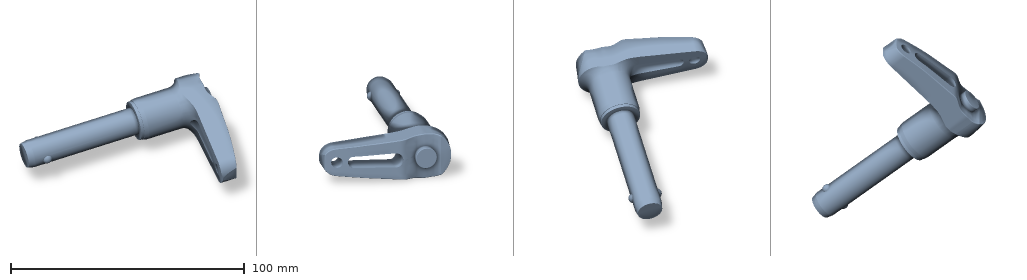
import cadquery as cq
import math

total_length = 85.7

pin_radius = 6.0
tip_radius = 5.4
tip_bevel_length = 2.7
ball_y = 8.5
ball_radius = 2.1
ball_reach = 7.3

ring_radius = 8.6
ring_start_y = 50.7
ring_end_y = 52.1
collar_nose_radius = 8.8
collar_radius = 9.2
collar_taper_end_y = 54.1
flare_start_y = 69.6
flare_radius = 5.1
flare_outer_radius = collar_radius + flare_radius
handle_floor_y = flare_start_y + flare_radius

button_radius = 4.6
button_edge_round = 0.25

head_end_x = -12.6
head_arc_x = -3.8
head_arc_half_width = 9.85
crest_half_length = 1.2
shoulder_half_width = 10.0
crest_half_width = 10.1
grip_end_x = 44.5
grip_arc_x = 38.7
grip_arc_half_width = 6.25

head_top_y = 83.9
recess_y = 82.9
recess_half_length = 3.7
recess_start_x = -6.85
rise_x = 6.5
hump_x = 9.25
hump_y = 85.1
grip_top_start = (13.2, 85.0)
grip_top_middle = (27.2, 83.6)
grip_top_end_y = 80.2
grip_floor_end = (43.7, 73.2)
grip_corner_y = 73.7

end_draft = math.tan(math.radians(7.7))
profile_margin = 1.7

rim_radius = 0.3
rim_lowest_y = 78.85

slot_inner_x = 13.4
slot_inner_radius = 3.25
slot_outer_x = 31.8
slot_outer_half_width = 2.5
slot_end_x = 33.8
lanyard_hole_x = 38.4
lanyard_hole_radius = 2.4


def revolve_about_pin(profile):
    """Turn a closed (radius, Y) profile about the pin axis."""
    return profile.close().revolve(360, (0, 0, 0), (0, 1, 0))


def through_handle(sketch):
    """Extrude an outline drawn in X and Z along the whole part."""
    return sketch.extrude(-total_length)


def make_pin_and_collar():
    flare_offset = flare_radius * math.sqrt(0.5)
    profile = (
        cq.Workplane("XY")
        .moveTo(0, 0)
        .lineTo(tip_radius, 0)
        .lineTo(pin_radius, tip_bevel_length)
        .lineTo(pin_radius, ring_start_y)
        .lineTo(ring_radius, ring_start_y)
        .lineTo(ring_radius, ring_end_y)
        .lineTo(collar_nose_radius, ring_end_y)
        .lineTo(collar_radius, collar_taper_end_y)
        .lineTo(collar_radius, flare_start_y)
        .threePointArc(
            (flare_outer_radius - flare_offset, flare_start_y + flare_offset),
            (flare_outer_radius, handle_floor_y),
        )
        .lineTo(0, handle_floor_y)
    )
    return revolve_about_pin(profile)


def make_outline_prism():
    outline = (
        cq.Workplane("XZ")
        .moveTo(head_arc_x, -head_arc_half_width)
        .threePointArc((head_end_x, 0), (head_arc_x, head_arc_half_width))
        .lineTo(-crest_half_length, shoulder_half_width)
        .threePointArc((0, crest_half_width), (crest_half_length, shoulder_half_width))
        .lineTo(grip_arc_x, grip_arc_half_width)
        .threePointArc((grip_end_x, 0), (grip_arc_x, -grip_arc_half_width))
        .lineTo(crest_half_length, -shoulder_half_width)
        .threePointArc((0, -crest_half_width), (-crest_half_length, -shoulder_half_width))
        .close()
    )
    return through_handle(outline)


def make_handle_profile():
    left_x = head_end_x - profile_margin
    return (
        cq.Workplane("XY")
        .moveTo(left_x, handle_floor_y)
        .lineTo(left_x, head_top_y)
        .lineTo(recess_start_x, head_top_y)
        .spline(
            [
                (-recess_half_length, recess_y),
                (0, recess_y),
                (recess_half_length, recess_y),
                (rise_x, head_top_y),
                (hump_x, hump_y),
                grip_top_start,
                grip_top_middle,
                (grip_end_x, grip_top_end_y),
            ],
            includeCurrent=True,
        )
        .lineTo(grip_end_x, grip_corner_y)
        .lineTo(*grip_floor_end)
        .lineTo(flare_outer_radius, handle_floor_y)
        .close()
        .extrude(total_length, both=True)
    )


def make_end_cones():
    """Head cone on the -X side joined to the larger grip cone on the +X side."""
    def cone(base_radius, base_y, angle_start):
        top_radius = base_radius - end_draft * (total_length - base_y)
        foot_radius = base_radius + end_draft * base_y
        return (
            cq.Workplane("XY")
            .polyline([(0, 0), (foot_radius, 0), (top_radius, total_length), (0, total_length)])
            .close()
            .revolve(180, (0, 0, 0), (0, 1, 0))
            .rotate((0, 0, 0), (0, 1, 0), angle_start)
        )

    head_cone = cone(-head_end_x, handle_floor_y, 90)
    grip_cone = cone(grip_end_x, grip_corner_y, -90)
    return head_cone.union(grip_cone)


def round_upper_rim(body):
    """Round the edges where the handle top meets its side walls and ends."""
    upper_box = cq.selectors.BoxSelector(
        (-total_length, rim_lowest_y, -total_length),
        (total_length, total_length + profile_margin, total_length),
        boundingbox=True,
    )
    return body.edges(upper_box).edges("not |Z").fillet(rim_radius)


def make_grip_openings():
    slot = (
        cq.Workplane("XZ")
        .moveTo(slot_inner_x, -slot_inner_radius)
        .threePointArc((slot_inner_x - slot_inner_radius, 0), (slot_inner_x, slot_inner_radius))
        .lineTo(slot_outer_x, slot_outer_half_width)
        .threePointArc((slot_end_x, 0), (slot_outer_x, -slot_outer_half_width))
        .close()
    )
    hole = cq.Workplane("XZ").center(lanyard_hole_x, 0).circle(lanyard_hole_radius)
    return through_handle(slot).union(through_handle(hole))


def make_button():
    return (
        cq.Workplane("XZ", origin=(0, handle_floor_y, 0))
        .circle(button_radius)
        .extrude(-(total_length - handle_floor_y))
        .faces(">Y")
        .edges()
        .fillet(button_edge_round)
    )


def make_ball(side):
    center_x = side * (ball_reach - ball_radius)
    return cq.Workplane("XY").sphere(ball_radius).translate((center_x, ball_y, 0))


outline_prism = make_outline_prism()
end_cones = make_end_cones()
stem = make_pin_and_collar().intersect(outline_prism).intersect(end_cones)
handle_blank = make_handle_profile().intersect(outline_prism).intersect(end_cones)
handle = round_upper_rim(handle_blank)

result = stem.union(handle).cut(make_grip_openings()).union(make_button())
for side in (-1, 1):
    result = result.union(make_ball(side))